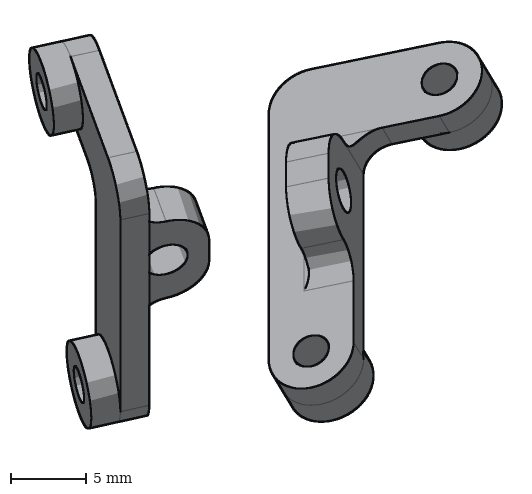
import cadquery as cq

height = 26.0
width = 15.0
thickness = 2.0
boss_radius = 3.0
boss_hole_diameter = 2.5
blend_radius = 2.0
tab_height = 8.0
tab_corner_radius = boss_radius
tab_reach = tab_corner_radius + blend_radius
tab_hole_diameter = 3.0
tab_side_fillet = 0.5

right = boss_radius
left = right - width
top = height - boss_radius
arm_underside = top - 2 * boss_radius
upper_boss_x = left + boss_radius
upper_boss_z = top - boss_radius
boss_centers = [(0, 0), (upper_boss_x, upper_boss_z)]
tab_left = -boss_radius
tab_right = 0.0
tab_top = arm_underside - blend_radius
tab_bottom = tab_top - tab_height
tab_middle = (tab_top + tab_bottom) / 2
tab_end = thickness + tab_reach
tab_hole_y = tab_end - tab_corner_radius
tab_root_y = thickness / 2


def at_depth(y):
    """Sketch plane with local (X, Z) coordinates, extruding toward -Y."""
    return cq.Workplane("XZ", origin=(0, y, 0))


def outline_prism(depth):
    """L-shaped outline with rounded ends and corner, running back from y = 0."""
    return (
        at_depth(0)
        .moveTo(upper_boss_x, top)
        .lineTo(right - boss_radius, top)
        .radiusArc((right, upper_boss_z), boss_radius)
        .lineTo(right, 0)
        .threePointArc((0, -boss_radius), (tab_left, 0))
        .lineTo(tab_left, arm_underside - blend_radius)
        .radiusArc((tab_left - blend_radius, arm_underside), -blend_radius)
        .lineTo(upper_boss_x, arm_underside)
        .threePointArc((left, upper_boss_z), (upper_boss_x, top))
        .close()
        .extrude(-depth)
    )


def tab_profile(x_start, x_end):
    """Rounded tab with a concave blend into the plate above and below it."""
    return (
        cq.Workplane("YZ", origin=(x_start, 0, 0))
        .moveTo(tab_root_y, tab_bottom - blend_radius)
        .lineTo(thickness, tab_bottom - blend_radius)
        .radiusArc((thickness + blend_radius, tab_bottom), blend_radius)
        .radiusArc((tab_end, tab_bottom + tab_corner_radius), -tab_corner_radius)
        .lineTo(tab_end, tab_top - tab_corner_radius)
        .radiusArc((tab_hole_y, tab_top), -tab_corner_radius)
        .radiusArc((thickness, arm_underside), blend_radius)
        .lineTo(tab_root_y, arm_underside)
        .close()
        .extrude(x_end - x_start)
    )


def plate_with_tab():
    """Slab and over-wide tab trimmed by the outline, so the tab root follows the inner corner."""
    slab = (
        cq.Workplane("XY")
        .box(width, thickness, height, centered=False)
        .translate((left, 0, -boss_radius))
    )
    tab = tab_profile(tab_left - blend_radius, tab_right)
    hole = (
        cq.Workplane("YZ", origin=(tab_left - blend_radius, 0, 0))
        .center(tab_hole_y, tab_middle)
        .circle(tab_hole_diameter / 2)
        .extrude(tab_right - tab_left + blend_radius)
    )
    return slab.union(tab.cut(hole)).intersect(outline_prism(tab_end))


def side_fillet():
    """Concave strip where the right side of the tab meets the back of the plate."""
    strip = (
        cq.Workplane("XY")
        .moveTo(tab_right, tab_root_y)
        .lineTo(tab_right + tab_side_fillet, tab_root_y)
        .lineTo(tab_right + tab_side_fillet, thickness)
        .radiusArc((tab_right, thickness + tab_side_fillet), tab_side_fillet)
        .close()
        .extrude(height)
    )
    return strip.intersect(tab_profile(tab_right, tab_right + tab_side_fillet))


bosses = at_depth(0).pushPoints(boss_centers).circle(boss_radius).extrude(thickness)
boss_holes = (
    at_depth(thickness)
    .pushPoints(boss_centers)
    .circle(boss_hole_diameter / 2)
    .extrude(2 * thickness)
)

result = plate_with_tab().union(side_fillet()).union(bosses).cut(boss_holes)